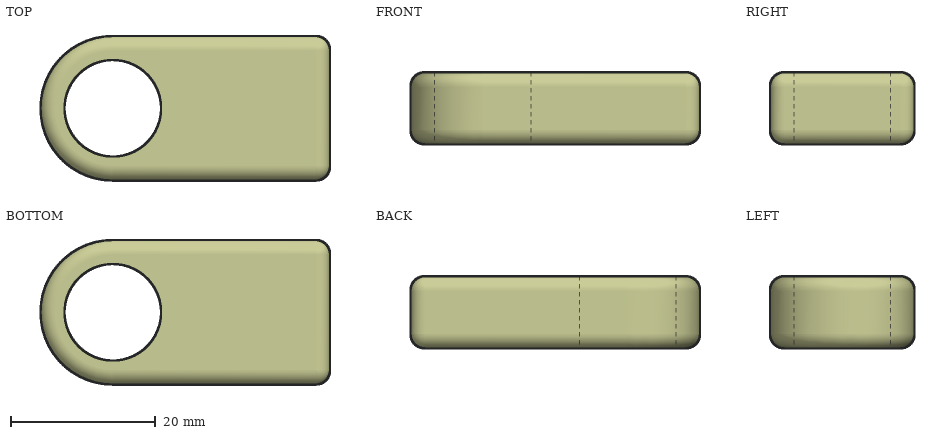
import cadquery as cq

length = 40.0
width = 20.0
thickness = 10.0
hole_diameter = 13.3
edge_radius = 2.0

end_radius = width / 2
square_end_x = length - end_radius


def rounded_block():
    """Bar with one half-round end and one square end, all sharp edges rounded."""
    bar = (
        cq.Workplane("XY")
        .moveTo(0, end_radius)
        .threePointArc((-end_radius, 0), (0, -end_radius))
        .lineTo(square_end_x, -end_radius)
        .lineTo(square_end_x, end_radius)
        .close()
        .extrude(thickness)
    )
    square_corners = bar.edges("|Z and >X")
    bar = square_corners.fillet(edge_radius)
    return bar.faces("<Z or >Z").edges().fillet(edge_radius)


def through_hole():
    """Cylinder that clears the full thickness at the rounded end."""
    return cq.Workplane("XY").circle(hole_diameter / 2).extrude(thickness)


result = rounded_block().cut(through_hole())